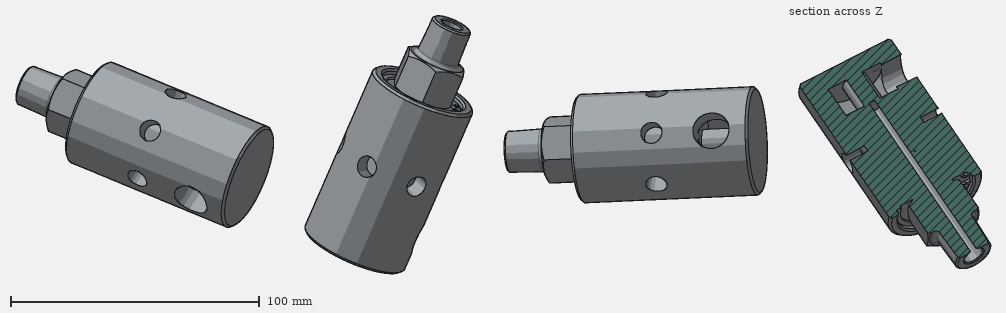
import cadquery as cq
import math

total_length = 102.4

barrel_diameter = 43.7
barrel_start = 29.8
barrel_chamfer = 1.0
barrel_radius = barrel_diameter / 2

nose_tip_radius = 8.3
nose_root_radius = 8.7
nose_root_x = 14.2
nose_chamfer = 0.7
root_fillet = 1.6
bore_diameter = 8.6
bore_chamfer = 0.5

hex_across_flats = 23.8
hex_corner_radius = hex_across_flats / math.sqrt(3)
hex_start = nose_root_x + root_fillet
hex_face_radius = 11.4
hex_back_radius = 9.9
hex_chamfer_angle = 30
hex_turn = 30

recess_diameter = 35.1
recess_bevel = 0.8
recess_depth = 3.3
ring_thickness = 1.0
ring_inner_radius = 15.4
lug_y = -15.4
lug_z = 4.6
lug_radius = 2.3
lug_web_y = -13.4
lug_hole_diameter = 1.9

radial_hole_count = 6
radial_hole_diameter = 8.6
radial_hole_x = 63.1
core_radius = 13.8

port_x = 87.5
port_mouth_diameter = 14.7
port_inner_diameter = 13.9
port_depth = 13.1
chamber_diameter = 25.6
tube_diameter = 11.1

chamber_start = port_x - port_inner_diameter / 2
recess_floor_x = barrel_start + recess_depth


def disc(diameter, start, length):
    """Cylinder on the X axis."""
    return cq.Workplane("YZ").workplane(offset=start).circle(diameter / 2).extrude(length)


def cone(start_radius, end_radius, start, length):
    """Truncated cone on the X axis."""
    return cq.Workplane("XY").add(
        cq.Solid.makeCone(start_radius, end_radius, length, cq.Vector(start, 0, 0), cq.Vector(1, 0, 0))
    )


def make_barrel():
    barrel = disc(barrel_diameter, barrel_start, total_length - barrel_start)
    return barrel.faces("<X or >X").edges().chamfer(barrel_chamfer)


def make_recess():
    radius = recess_diameter / 2
    recess = disc(recess_diameter, barrel_start, recess_depth)
    return recess.union(cone(radius + recess_bevel, radius, barrel_start, recess_bevel))


def make_retaining_ring():
    ring_start = recess_floor_x - ring_thickness
    plane = cq.Workplane("YZ").workplane(offset=ring_start)
    ring = disc(recess_diameter, ring_start, ring_thickness)
    ring = ring.cut(disc(2 * ring_inner_radius, ring_start, ring_thickness))

    gap_width = 2 * (lug_z - lug_radius)
    gap = plane.center(-recess_diameter / 2, 0).rect(recess_diameter, gap_width).extrude(ring_thickness)
    ring = ring.cut(gap)

    envelope = disc(recess_diameter, ring_start, ring_thickness)
    web_end_z = math.sqrt(ring_inner_radius**2 - lug_web_y**2)
    for side in (-1, 1):
        pad = plane.center(lug_y, side * lug_z).circle(lug_radius).extrude(ring_thickness)
        straight_side = (
            plane.center(lug_y - lug_radius, side * lug_z)
            .rect(2 * lug_radius, 2 * lug_radius)
            .extrude(ring_thickness)
        )
        web = (
            plane.center((lug_y + lug_web_y) / 2, side * (lug_z + web_end_z) / 2)
            .rect(lug_web_y - lug_y, web_end_z - lug_z)
            .extrude(ring_thickness)
        )
        ring = ring.union(pad.union(straight_side).union(web).intersect(envelope))

    lug_holes = plane.pushPoints([(lug_y, -lug_z), (lug_y, lug_z)]).circle(lug_hole_diameter / 2)
    return ring.cut(lug_holes.extrude(ring_thickness))


def make_hexagon():
    length = recess_floor_x - hex_start
    hexagon = (
        cq.Workplane("YZ")
        .workplane(offset=hex_start)
        .polygon(6, 2 * hex_corner_radius)
        .extrude(length)
        .rotate((0, 0, 0), (1, 0, 0), hex_turn)
    )
    widening = length / math.tan(math.radians(hex_chamfer_angle))
    front_cone = cone(hex_face_radius, hex_face_radius + widening, hex_start, length)
    back_cone = cone(hex_back_radius + widening, hex_back_radius, hex_start, length)
    return hexagon.intersect(front_cone).intersect(back_cone)


def make_nose():
    fillet_middle = root_fillet * math.sqrt(0.5)
    fillet_top_radius = nose_root_radius + root_fillet
    profile = (
        cq.Workplane("XY")
        .moveTo(0, 0)
        .lineTo(0, nose_tip_radius - nose_chamfer)
        .lineTo(nose_chamfer, nose_tip_radius)
        .lineTo(nose_root_x, nose_root_radius)
        .threePointArc(
            (nose_root_x + fillet_middle, fillet_top_radius - fillet_middle),
            (hex_start, fillet_top_radius),
        )
        .lineTo(hex_start, 0)
        .close()
    )
    return profile.revolve(360, (0, 0, 0), (1, 0, 0))


def make_bore():
    radius = bore_diameter / 2
    bore = disc(bore_diameter, 0, chamber_start)
    return bore.union(cone(radius + bore_chamfer, radius, 0, bore_chamfer))


def make_radial_holes():
    hole = (
        cq.Workplane("XZ")
        .center(radial_hole_x, 0)
        .circle(radial_hole_diameter / 2)
        .extrude(barrel_diameter)
    )
    holes = hole
    for index in range(1, radial_hole_count):
        holes = holes.union(hole.rotate((0, 0, 0), (1, 0, 0), index * 360 / radial_hole_count))
    core = disc(2 * core_radius, barrel_start, total_length - barrel_start)
    return holes.cut(core)


def make_port():
    port = cq.Workplane("XY").add(
        cq.Solid.makeCone(
            port_mouth_diameter / 2,
            port_inner_diameter / 2,
            port_depth,
            cq.Vector(port_x, -barrel_radius, 0),
            cq.Vector(0, 1, 0),
        )
    )
    chamber = disc(chamber_diameter, chamber_start, port_inner_diameter)
    tube = disc(tube_diameter, chamber_start, port_inner_diameter)
    return port.union(chamber).cut(tube)


result = (
    make_barrel()
    .cut(make_recess())
    .union(make_retaining_ring())
    .union(make_hexagon())
    .union(make_nose())
    .cut(make_bore())
    .cut(make_radial_holes())
    .cut(make_port())
)